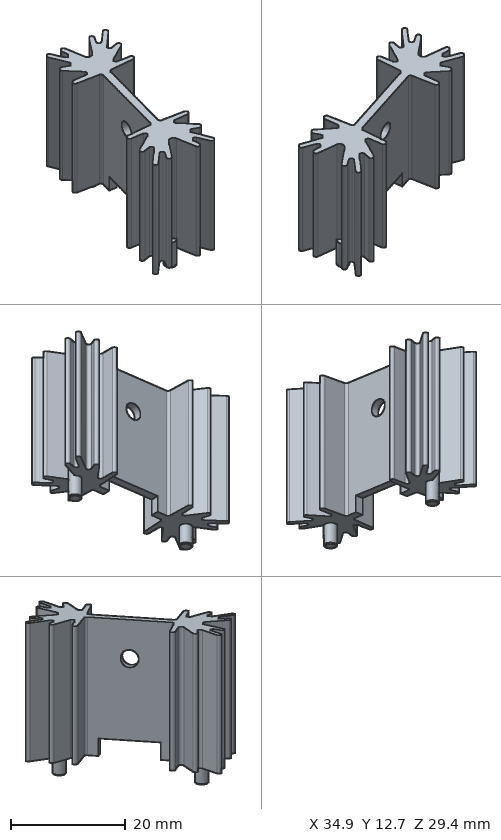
import cadquery as cq
import math


LENGTH = 34.93
DEPTH = 12.68
TOTAL_HEIGHT = 29.38

PIN_RADIUS = 1.2
PIN_PROJECTION = 3.98
PIN_EMBEDMENT = 2.0
PIN_CHAMFER = 0.2
PIN_SPACING = 25.4

HEIGHT = TOTAL_HEIGHT - PIN_PROJECTION
WEB_THICKNESS = 1.6
HOLE_DIAMETER = 3.2
HOLE_BELOW_TOP = 7.15
NOTCH_WIDTH = 11.1
NOTCH_HEIGHT = 3.2

TIP_RADIUS = 0.5
VALLEY_RADIUS = 0.5
ROOT_RADIUS = 0.5
END_VALLEY_RADIUS = 0.87
TIP_Y = DEPTH / 2 - TIP_RADIUS
CORNER_TIP_X = LENGTH / 2 - TIP_RADIUS

TIP = 1
VALLEY = -1

SECTION_ROUNDS = [
    (VALLEY, 7.5, WEB_THICKNESS / 2 + ROOT_RADIUS, ROOT_RADIUS),
    (TIP, 8.7, TIP_Y, TIP_RADIUS),
    (VALLEY, 9.7, 3.32, VALLEY_RADIUS),
    (TIP, 12.8, TIP_Y, TIP_RADIUS),
    (VALLEY, 13.3, 4.33, VALLEY_RADIUS),
    (TIP, CORNER_TIP_X, TIP_Y, TIP_RADIUS),
    (VALLEY, 15.45, 3.45, VALLEY_RADIUS),
    (TIP, 16.87, 2.95, TIP_RADIUS),
    (VALLEY, 13.8, 0.0, END_VALLEY_RADIUS),
]


def flank_normal(start, end):
    """Angle of the outward normal of the straight flank tangent to two successive rounds."""
    start_kind, start_x, start_y, start_radius = start
    end_kind, end_x, end_y, end_radius = end
    dx = end_x - start_x
    dy = end_y - start_y
    offset = start_kind * start_radius - end_kind * end_radius
    return math.atan2(dy, dx) + math.acos(offset / math.hypot(dx, dy))


def point_on_round(section_round, normal):
    """Point of a round where the outward normal of the section has the given angle."""
    kind, x, y, radius = section_round
    return (x + kind * radius * math.cos(normal), y + kind * radius * math.sin(normal))


def middle_normal(kind, normal_in, normal_out):
    """Normal halfway along a round; the outline turns clockwise at tips and the other way in valleys."""
    turn = (kind * (normal_in - normal_out)) % (2 * math.pi)
    return normal_in - kind * turn / 2


def make_quarter():
    """Extruded quarter of the section, in +X +Y."""
    web_normal = math.pi / 2
    end_normal = 0.0
    flanks = [flank_normal(a, b) for a, b in zip(SECTION_ROUNDS, SECTION_ROUNDS[1:])]
    normals = [web_normal] + flanks + [end_normal]

    outline = cq.Workplane("XY").lineTo(0, WEB_THICKNESS / 2)
    for section_round, normal_in, normal_out in zip(SECTION_ROUNDS, normals, normals[1:]):
        middle = middle_normal(section_round[0], normal_in, normal_out)
        outline = outline.lineTo(*point_on_round(section_round, normal_in))
        outline = outline.threePointArc(
            point_on_round(section_round, middle),
            point_on_round(section_round, normal_out),
        )
    return outline.close().extrude(HEIGHT)


def make_pin(x):
    """Round pin with a chamfered lower end."""
    return (
        cq.Workplane("XY", origin=(x, 0, -PIN_PROJECTION))
        .circle(PIN_RADIUS)
        .extrude(PIN_PROJECTION + PIN_EMBEDMENT)
        .faces("<Z")
        .chamfer(PIN_CHAMFER)
    )


def make_heatsink(pins):
    """Finned extrusion with its mounting hole, bottom notch and pin sockets."""
    quarter = make_quarter()
    half = quarter.union(quarter.mirror("XZ"))
    body = half.union(half.mirror("YZ")).clean()

    hole = (
        cq.Workplane("XZ", origin=(0, 0, HEIGHT - HOLE_BELOW_TOP))
        .circle(HOLE_DIAMETER / 2)
        .extrude(WEB_THICKNESS, both=True)
    )
    notch = cq.Workplane("XY").box(
        NOTCH_WIDTH, DEPTH, NOTCH_HEIGHT, centered=(True, True, False)
    )
    body = body.cut(hole).cut(notch)

    for pin in pins:
        body = body.cut(pin)
    return body


pins = [make_pin(side * PIN_SPACING / 2) for side in (-1, 1)]
heatsink = make_heatsink(pins)

result = cq.Compound.makeCompound([heatsink.solids().val(), *[pin.val() for pin in pins]])